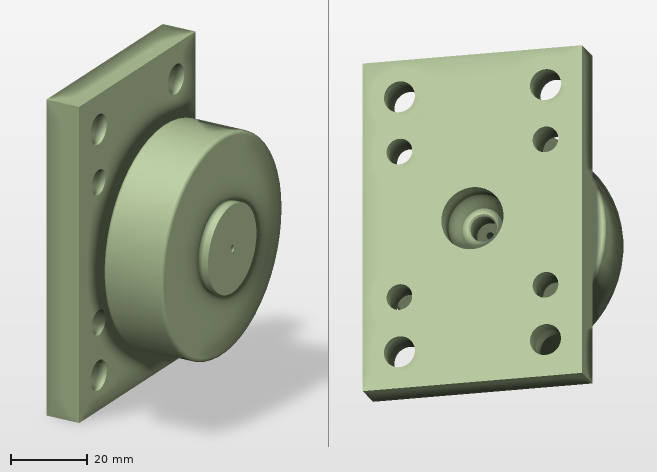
import cadquery as cq

plate_height = 90.0
plate_width = 60.0
plate_thickness = 10.0

hole_half_pitch_y = 20.0
outer_hole_z = 35.0
inner_hole_z = 20.0
outer_hole_diameter = 8.5
inner_hole_diameter = 7.0

overall_length = 39.0
pin_diameter = 30.0
pin_tip_diameter = 25.0
roller_diameter = 62.4
roller_start = 18.0
roller_width = 18.0
roller_edge_radius = 1.0

bore_diameter = 17.0
bore_depth = 6.7
seat_floor_diameter = 11.0
seat_floor_depth = bore_depth + (bore_diameter - seat_floor_diameter) / 2
socket_diameter = 6.9
socket_mouth_diameter = 7.8
socket_chamfer = (socket_mouth_diameter - socket_diameter) / 2
socket_length = 7.0
grease_hole_diameter = 2.0


def disc(diameter, start, end):
    """Cylinder on the X axis between two X positions."""
    return cq.Workplane("YZ", origin=(start, 0, 0)).circle(diameter / 2).extrude(end - start)


def plate():
    """Rectangular plate with its outer face on X = 0 and eight through holes."""
    body = cq.Workplane("YZ").rect(plate_width, plate_height).extrude(plate_thickness)
    for hole_z, diameter in ((outer_hole_z, outer_hole_diameter), (inner_hole_z, inner_hole_diameter)):
        holes = (
            cq.Workplane("YZ")
            .rect(2 * hole_half_pitch_y, 2 * hole_z, forConstruction=True)
            .vertices()
            .circle(diameter / 2)
            .extrude(plate_thickness)
        )
        body = body.cut(holes)
    return body


def roller_on_pin():
    """Roller with rounded rims on a pin that narrows beyond the roller."""
    roller_end = roller_start + roller_width
    roller = disc(roller_diameter, roller_start, roller_end).edges().fillet(roller_edge_radius)
    pin = disc(pin_diameter, plate_thickness, roller_start)
    tip = disc(pin_tip_diameter, roller_end, overall_length)
    return roller.union(pin).union(tip)


def bore():
    """Straight bore, tapered seat, chamfered socket and through grease hole, revolved about X."""
    socket_floor_depth = seat_floor_depth + socket_length
    profile = (
        cq.Workplane("XY")
        .lineTo(0, bore_diameter / 2)
        .lineTo(bore_depth, bore_diameter / 2)
        .lineTo(seat_floor_depth, seat_floor_diameter / 2)
        .lineTo(seat_floor_depth, socket_mouth_diameter / 2)
        .lineTo(seat_floor_depth + socket_chamfer, socket_diameter / 2)
        .lineTo(socket_floor_depth, socket_diameter / 2)
        .lineTo(socket_floor_depth, grease_hole_diameter / 2)
        .lineTo(overall_length, grease_hole_diameter / 2)
        .lineTo(overall_length, 0)
        .close()
    )
    return profile.revolve(360, (0, 0, 0), (1, 0, 0))


result = plate().union(roller_on_pin()).cut(bore())